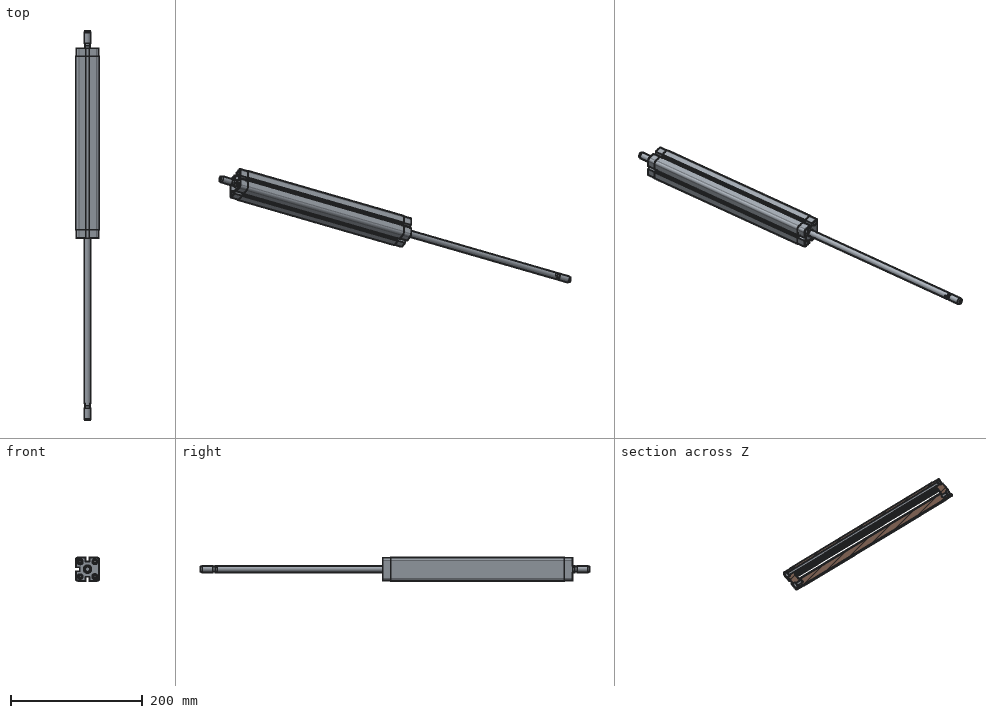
import cadquery as cq

length = 591.0
half_length = length / 2

tube_side = 36.0
tube_corner_radius = 4.45
cap_side = 35.0
cap_corner_radius = 3.85
cap_length = 12.5
body_length = 288.5
body_back = 269.5
body_front = body_back - body_length
tube_back = body_back - cap_length
tube_length = body_length - 2 * cap_length

slot_width = 6.0
slot_floor = 12.0
undercut_width = 12.0
undercut_floor = 10.5
slot_lip = 2.5
slot_angles = (0, 180, -90)

hole_spacing = 22.5
hole_diameter = 4.0
blind_hole_depth = 14.0
through_bore_diameter = 7.5
blind_bore_diameter = 8.0
bore_depth = 5.0

rod_diameter = 10.0
rod_recess_diameter = 12.0
rod_recess_depth = 1.0
tip_chamfer_length = 3.0
tip_chamfer_inset = 1.0
thread_length = 19.0
neck_diameter = 8.0
neck_length = 3.5
flats_length = 3.5
flats_across = 8.0


def section(y_back):
    """Sketch plane across the rod axis; extruding from it goes towards -Y."""
    return cq.Workplane("XZ", origin=(0, y_back, 0))


def square_bar(y_back, bar_length, side, corner_radius):
    return section(y_back).rect(side, side).extrude(bar_length).edges("|Y").fillet(corner_radius)


def channel(y_back, channel_length, width, floor, top):
    """Block along Y on the +Z side, between two distances from the rod axis."""
    sketch = section(y_back).center(0, (floor + top) / 2)
    return sketch.rect(width, top - floor).extrude(channel_length)


def make_body():
    caps = square_bar(body_back, body_length, cap_side, cap_corner_radius)
    tube = square_bar(tube_back, tube_length, tube_side, tube_corner_radius)
    return caps.union(tube)


def cut_slots(body):
    half_side = tube_side / 2
    mouth = channel(body_back, body_length, slot_width, slot_floor, half_side)
    undercut = channel(tube_back, tube_length, undercut_width, undercut_floor, half_side - slot_lip)
    slot = mouth.union(undercut)
    for angle in slot_angles:
        body = body.cut(slot.rotate((0, 0, 0), (0, 1, 0), angle))
    return body


def cut_from_both_ends(body, centres, diameter, depth):
    """Flat-bottomed round holes sunk into the front and back faces of the body."""
    for y_back in (body_front + depth, body_back):
        body = body.cut(section(y_back).pushPoints(centres).circle(diameter / 2).extrude(depth))
    return body


def cut_corner_holes(body):
    offset = hole_spacing / 2
    through = [(offset, offset), (-offset, -offset)]
    blind = [(-offset, offset), (offset, -offset)]
    body = body.cut(section(body_back).pushPoints(through).circle(hole_diameter / 2).extrude(body_length))
    body = cut_from_both_ends(body, through, through_bore_diameter, bore_depth)
    body = cut_from_both_ends(body, blind, hole_diameter, blind_hole_depth)
    return cut_from_both_ends(body, blind, blind_bore_diameter, bore_depth)


def make_rod():
    rod_radius = rod_diameter / 2
    neck_radius = neck_diameter / 2
    neck_outer = half_length - thread_length
    neck_inner = neck_outer - neck_length

    half_rod = (
        cq.Workplane("XY")
        .moveTo(0, 0)
        .lineTo(rod_radius, 0)
        .lineTo(rod_radius, neck_inner)
        .lineTo(neck_radius, neck_inner)
        .lineTo(neck_radius, neck_outer)
        .lineTo(rod_radius, neck_outer)
        .lineTo(rod_radius, half_length - tip_chamfer_length)
        .lineTo(rod_radius - tip_chamfer_inset, half_length)
        .lineTo(0, half_length)
        .close()
        .revolve(360, (0, 0, 0), (0, 1, 0))
    )

    block = section(neck_inner).rect(2 * rod_diameter, 2 * rod_diameter).extrude(flats_length)
    kept = section(neck_inner).rect(flats_across, 2 * rod_diameter).extrude(flats_length)
    half_rod = half_rod.cut(block.cut(kept))
    return half_rod.union(half_rod.mirror("XZ"))


body = cut_corner_holes(cut_slots(make_body()))
body = cut_from_both_ends(body, [(0, 0)], rod_recess_diameter, rod_recess_depth)
result = body.union(make_rod())